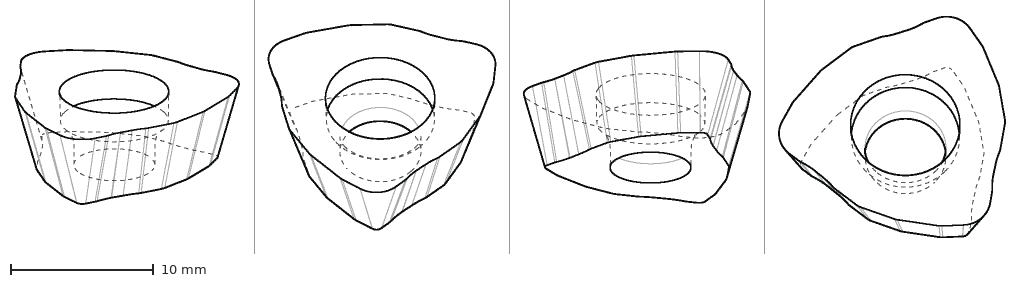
import cadquery as cq
import math

THICKNESS = 5.57
CLEARANCE_ANGLE = 15.0
LOBES = 3
NOSE_RADIUS = 1.98
BLEND_RADIUS = 0.95
HOLLOW_RADIUS = 4.76

NOSE_END = (-7.7, -3.44)
HOLLOW_START = (-6.84, -3.93)
FLAT_START = (-5.85, -4.36)
FLAT_END = (-5.09, -4.84)
HOLLOW_END = (-4.2, -5.52)
SIDE_START = (-2.27, -6.65)
EDGE_START = (0.48, -7.22)
EDGE_END = (3.63, -7.22)
NOSE_START = (5.22, -6.88)
BLENDED_CORNERS = (HOLLOW_START, HOLLOW_END, SIDE_START, EDGE_START, EDGE_END)

MOUTH_RADIUS = 3.84
SEAT_RADIUS = 3.79
BORE_RADIUS = 2.84
MOUTH_DEPTH = 2.19
SEAT_DEPTH = 4.09


def turned(point, lobe):
    """Rotate a point about the origin to the given lobe."""
    angle = 2 * math.pi * lobe / LOBES
    x, y = point
    return (
        x * math.cos(angle) - y * math.sin(angle),
        x * math.sin(angle) + y * math.cos(angle),
    )


def arc_middle(start, end, radius):
    """Middle of the shorter arc, bulging to the right of start-to-end for a positive radius."""
    dx = end[0] - start[0]
    dy = end[1] - start[1]
    chord = math.hypot(dx, dy)
    rise = abs(radius) - math.sqrt(radius**2 - (chord / 2) ** 2)
    side = math.copysign(rise / chord, radius)
    return ((start[0] + end[0]) / 2 + side * dy, (start[1] + end[1]) / 2 - side * dx)


def make_outline():
    outline = cq.Workplane("XY").workplane(offset=THICKNESS).moveTo(*NOSE_END)

    for lobe in range(LOBES):
        def line(end):
            return outline.lineTo(*turned(end, lobe))

        def arc(start, end, radius):
            middle = arc_middle(start, end, radius)
            return outline.threePointArc(turned(middle, lobe), turned(end, lobe))

        outline = line(HOLLOW_START)
        outline = arc(HOLLOW_START, FLAT_START, -HOLLOW_RADIUS)
        outline = line(FLAT_END)
        outline = arc(FLAT_END, HOLLOW_END, -HOLLOW_RADIUS)
        for corner in (SIDE_START, EDGE_START, EDGE_END, NOSE_START):
            outline = line(corner)
        outline = arc(NOSE_START, turned(NOSE_END, 1), NOSE_RADIUS)
    return outline.close()


def make_body():
    body = make_outline().extrude(-THICKNESS, taper=CLEARANCE_ANGLE)
    corners = [turned(point, lobe) for lobe in range(LOBES) for point in BLENDED_CORNERS]

    def is_blended(edge):
        top = max((edge.startPoint(), edge.endPoint()), key=lambda point: point.z)
        bottom = min(edge.startPoint().z, edge.endPoint().z)
        tolerance = 0.002
        spans_flank = top.z - bottom > THICKNESS - tolerance
        return spans_flank and any(math.dist((top.x, top.y), c) < tolerance for c in corners)

    blended = [edge for edge in body.edges().vals() if is_blended(edge)]
    return body.newObject(blended).fillet(BLEND_RADIUS)


def make_hole():
    seat_bottom = THICKNESS - SEAT_DEPTH
    seat_height = SEAT_DEPTH - MOUTH_DEPTH
    seat_width = SEAT_RADIUS - BORE_RADIUS
    seat_curve = (seat_height**2 + seat_width**2) / (2 * seat_width)
    half_angle = math.asin(seat_height / seat_curve) / 2
    seat_middle = (
        BORE_RADIUS + seat_curve * (1 - math.cos(half_angle)),
        seat_bottom + seat_curve * math.sin(half_angle),
    )
    return (
        cq.Workplane("XZ")
        .lineTo(BORE_RADIUS, 0)
        .lineTo(BORE_RADIUS, seat_bottom)
        .threePointArc(seat_middle, (SEAT_RADIUS, THICKNESS - MOUTH_DEPTH))
        .lineTo(MOUTH_RADIUS, THICKNESS)
        .lineTo(0, THICKNESS)
        .close()
        .revolve(360, (0, 0), (0, 1))
    )


result = make_body().cut(make_hole())